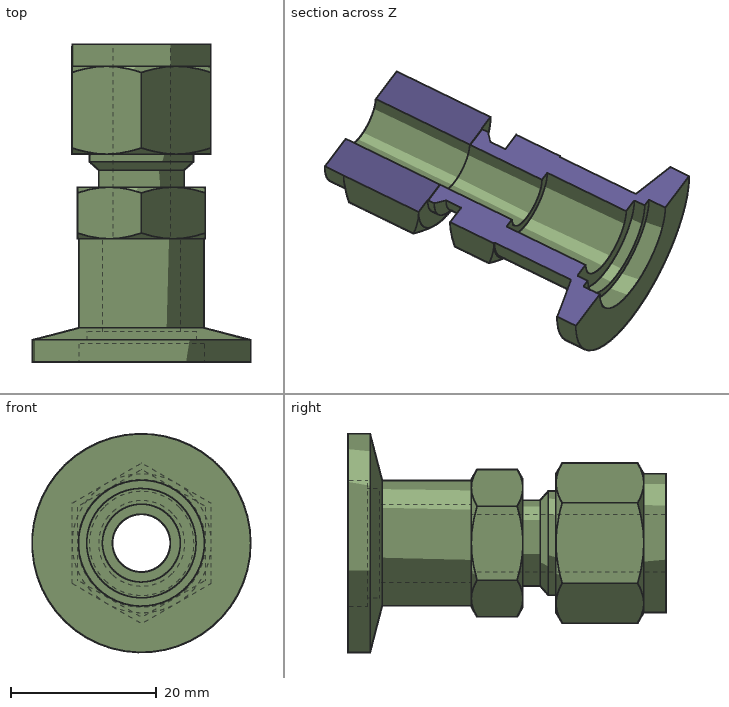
import cadquery as cq
import math

flange_rim_end = 3.05
flange_cone_end = 4.7
tube_end = 16.9
body_hex_end = 23.97
neck_end = 26.35
shoulder_start = 27.45
nut_start = 28.5
nut_hex_end = 40.55
fitting_end = 43.6

flange_diameter = 30.0
tube_diameter = 17.2
neck_diameter = 11.75
shoulder_diameter = 14.3
body_hex_flats = 17.52
nut_flats = 19.05
chamfer_angle = 30.0

seal_recess_diameter = 17.25
seal_recess_depth = 2.6
counterbore_diameter = 15.0
counterbore_end = 4.27
tube_bore_diameter = 10.7
tube_bore_end = tube_end
through_bore_diameter = 7.9


def cylinder(diameter, start, end):
    """Round bar about the Y axis between two stations."""
    bar = cq.Workplane("XZ", origin=(0, start, 0)).circle(diameter / 2)
    return bar.extrude(start - end)


def revolve_profile(points):
    """Turn (radius, station) points about the Y axis."""
    return cq.Workplane("XY").polyline(points).close().revolve(360, (0, 0, 0), (0, 1, 0))


def chamfered_hex(flats, start, end):
    """Hexagon with flats facing +X and -X, its corners turned off at both ends."""
    flat_radius = flats / 2
    corner_radius = flat_radius / math.cos(math.pi / 6)
    chamfer_length = (corner_radius - flat_radius) * math.tan(math.radians(chamfer_angle))
    prism = (
        cq.Workplane("XZ", origin=(0, start, 0))
        .transformed(rotate=(0, 0, 90))
        .polygon(6, 2 * corner_radius)
        .extrude(start - end)
    )
    turned_blank = revolve_profile([
        (0, start),
        (flat_radius, start),
        (corner_radius, start + chamfer_length),
        (corner_radius, end - chamfer_length),
        (flat_radius, end),
        (0, end),
    ])
    return prism.intersect(turned_blank)


def make_body():
    """Flanged tube with a wrench hexagon, neck and shoulder, bored through."""
    turned = revolve_profile([
        (0, 0),
        (flange_diameter / 2, 0),
        (flange_diameter / 2, flange_rim_end),
        (tube_diameter / 2, flange_cone_end),
        (tube_diameter / 2, tube_end),
        (neck_diameter / 2, tube_end),
        (neck_diameter / 2, neck_end),
        (shoulder_diameter / 2, shoulder_start),
        (shoulder_diameter / 2, nut_start),
        (0, nut_start),
    ])
    body = turned.union(chamfered_hex(body_hex_flats, tube_end, body_hex_end))
    body = body.cut(cylinder(seal_recess_diameter, 0, seal_recess_depth))
    body = body.cut(cylinder(counterbore_diameter, 0, counterbore_end))
    body = body.cut(cylinder(tube_bore_diameter, 0, tube_bore_end))
    return body.cut(cylinder(through_bore_diameter, 0, nut_start))


def make_nut():
    """Hexagon nut with a round collar at its outer end, seated on the shoulder."""
    nut = chamfered_hex(nut_flats, nut_start, nut_hex_end)
    nut = nut.union(cylinder(nut_flats, nut_hex_end, fitting_end))
    return nut.cut(cylinder(through_bore_diameter, nut_start, fitting_end))


body = make_body()
nut = make_nut()
result = cq.Compound.makeCompound([body.val(), nut.val()])